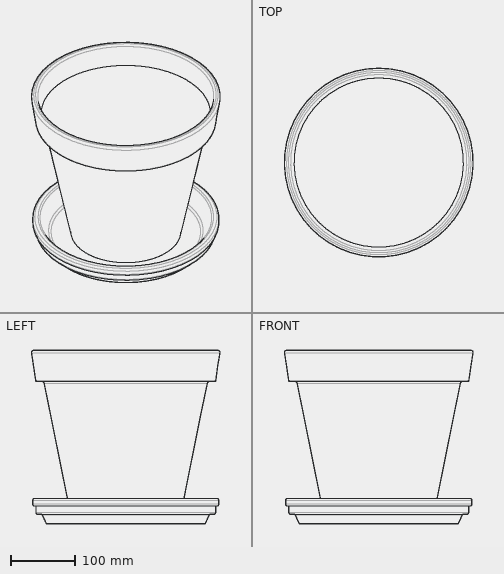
import cadquery as cq

total_height = 270.0

saucer_height = 39.7
floor_height = 11.8
foot_radius = 123.8
foot_top_radius = 130.8
foot_round = 1.0
foot_neck_round = 2.4
tier_radius = 280.5 / 2
tier_bottom = 14.7
tier_round = 3.0
lip_radius = 290.0 / 2
lip_bottom = 27.3
lip_round = 3.2
saucer_mouth_radius = 134.5
saucer_floor_radius = 119.0
saucer_floor_round = 4.5

pot_base_radius = 85.5
pot_neck_radius = 128.0
rim_bottom = 221.3
rim_bottom_radius = 140.2
rim_top_radius = 147.5
rim_round = 3.5
rim_lower_round = 2.4
neck_round = 3.5
pot_mouth_radius = 137.5
recess_floor_radius = 131.7
recess_floor = 235.2

edge_tolerance = 0.03


def revolve_profile(points):
    """Turn a closed (radius, height) outline around the Z axis."""
    return cq.Workplane("YZ").polyline(points).close().revolve(360, (0, 0), (0, 1))


def round_circle(body, radius, height, fillet_radius):
    """Round the circular edge that has the given radius and height."""
    edges = [
        edge
        for edge in body.edges("%CIRCLE").vals()
        if abs(edge.radius() - radius) < edge_tolerance
        and abs(edge.Center().z - height) < edge_tolerance
    ]
    return body.newObject(edges).fillet(fillet_radius)


def make_saucer():
    """Stepped dish with a sloping inner wall and a flat floor."""
    saucer = revolve_profile([
        (0, 0),
        (foot_radius, 0),
        (foot_top_radius, tier_bottom),
        (tier_radius, tier_bottom),
        (tier_radius, lip_bottom),
        (lip_radius, lip_bottom),
        (lip_radius, saucer_height),
        (saucer_mouth_radius, saucer_height),
        (saucer_floor_radius, floor_height),
        (0, floor_height),
    ])
    saucer = round_circle(saucer, foot_radius, 0, foot_round)
    saucer = round_circle(saucer, foot_top_radius, tier_bottom, foot_neck_round)
    saucer = round_circle(saucer, tier_radius, tier_bottom, tier_round)
    saucer = round_circle(saucer, lip_radius, lip_bottom, lip_round)
    saucer = round_circle(saucer, lip_radius, saucer_height, lip_round)
    saucer = round_circle(saucer, saucer_mouth_radius, saucer_height, lip_round)
    return round_circle(saucer, saucer_floor_radius, floor_height, saucer_floor_round)


def make_pot():
    """Tapered pot with a flared rim and a shallow recess, standing on the saucer floor."""
    pot = revolve_profile([
        (0, floor_height),
        (pot_base_radius, floor_height),
        (pot_neck_radius, rim_bottom),
        (rim_bottom_radius, rim_bottom),
        (rim_top_radius, total_height),
        (pot_mouth_radius, total_height),
        (recess_floor_radius, recess_floor),
        (0, recess_floor),
    ])
    pot = round_circle(pot, pot_neck_radius, rim_bottom, neck_round)
    pot = round_circle(pot, rim_bottom_radius, rim_bottom, rim_lower_round)
    pot = round_circle(pot, rim_top_radius, total_height, rim_round)
    return round_circle(pot, pot_mouth_radius, total_height, rim_round)


saucer = make_saucer()
pot = make_pot()
result = cq.Compound.makeCompound([saucer.val(), pot.val()])